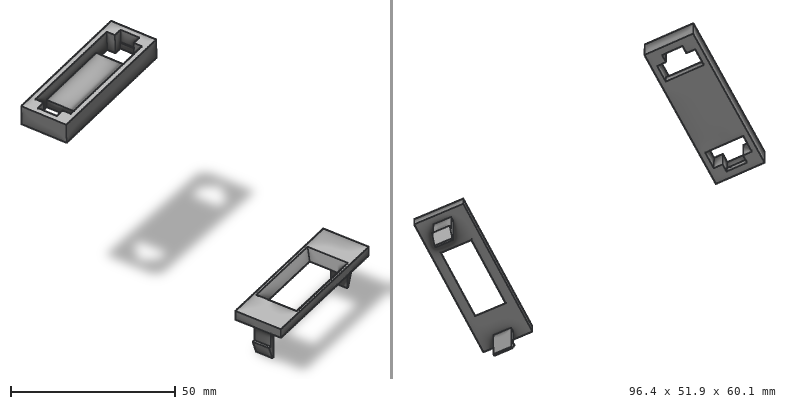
import cadquery as cq

width = 16.6
length = 48.9

frame_height = 7.1
frame_side_wall = 1.8
frame_end_wall = 5.1
notch_width = 6.9
notch_end_wall = 2.0
ledge_depth = 0.4
ledge_height = 2.3
floor_length = 27.0
floor_thickness = 2.9
frame_center = (-39.5, 1.3, 25.8)
frame_pitch = 1.67
frame_yaw = -0.9

plate_thickness = 3.4
window_top_width = 14.6
window_top_length = 28.5
window_taper = 2.2
leg_width = 6.0
leg_thickness = 1.5
leg_inset = 2.5
leg_length = 12.2
barb_depth = 1.0
barb_height = 5.0
leg_tip_thickness = 0.7
clip_plate_top = (39.9, -1.5, -14.4)


def block(size_x, size_y, size_z, bottom=0.0):
    """Box centred on X, with its underside at the given height."""
    box = cq.Workplane("XY").box(size_x, size_y, size_z, centered=(True, True, False))
    return box.translate((0, 0, bottom))


def make_frame():
    cavity_width = width - 2 * frame_side_wall
    cavity_length = length - 2 * frame_end_wall
    notch_length = length - 2 * notch_end_wall
    upper_height = frame_height - ledge_height

    frame = block(width, length, frame_height)
    frame = frame.cut(block(cavity_width, cavity_length, frame_height))

    frame = frame.cut(block(notch_width, notch_length, upper_height, bottom=ledge_height))
    frame = frame.cut(block(notch_width, notch_length - 2 * ledge_depth, ledge_height))

    frame = frame.union(block(cavity_width, floor_length, floor_thickness))

    frame = frame.translate((0, 0, -frame_height / 2))
    frame = frame.rotate((0, 0, 0), (1, 0, 0), frame_pitch)
    frame = frame.rotate((0, 0, 0), (0, 0, 1), frame_yaw)
    return frame.translate(frame_center)


def make_leg(end):
    """Barbed leg below the plate; end is +1 for the +Y leg and -1 for the -Y leg."""
    outer = length / 2 - leg_inset
    inner = outer - leg_thickness
    barb_top = -plate_thickness - leg_length + barb_height
    tip = -plate_thickness - leg_length
    profile = [
        (end * inner, -plate_thickness),
        (end * outer, -plate_thickness),
        (end * outer, barb_top),
        (end * (outer + barb_depth), barb_top),
        (end * (inner + leg_tip_thickness), tip),
        (end * inner, tip),
    ]
    return cq.Workplane("YZ").polyline(profile).close().extrude(leg_width / 2, both=True)


def make_clip():
    clip = block(width, length, plate_thickness, bottom=-plate_thickness)
    window = (
        cq.Workplane("XY")
        .rect(window_top_width, window_top_length)
        .workplane(offset=-plate_thickness)
        .rect(window_top_width - 2 * window_taper, window_top_length - 2 * window_taper)
        .loft(ruled=True)
    )
    clip = clip.cut(window)
    for end in (1, -1):
        clip = clip.union(make_leg(end))
    return clip.translate(clip_plate_top)


frame = make_frame()
clip = make_clip()
result = cq.Compound.makeCompound([frame.solids().val(), clip.solids().val()])